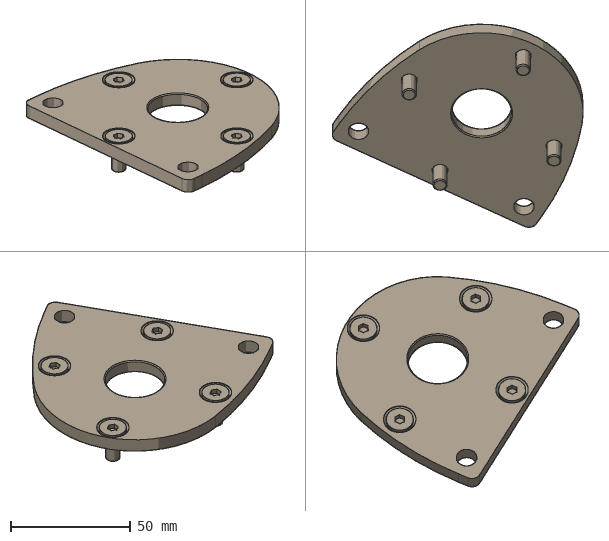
import cadquery as cq
import math


plate_width = 98.0
plate_length = 85.5
plate_thickness = 6.0
corner_radius = 3.6
nose_radius = 42.5
straight_side_length = 8.0
flank_end_offset = 59.0

bore_diameter = 25.0
bore_chamfer = 0.5

mount_hole_diameter = 8.5
mount_hole_spacing = 80.0
mount_hole_base_offset = 8.9

screw_count = 4
screw_pitch_radius = 35.0
clearance_diameter = 6.6
countersink_diameter = 13.5
countersink_angle = 90.0
countersink_lip = 0.3

shank_diameter = 6.0
head_diameter = 11.4
head_recess = 0.1
screw_tip_depth = 16.1
tip_chamfer = 0.5
socket_width = 4.0
socket_depth = 2.1
socket_cone_depth = 1.2

base_y = nose_radius - plate_length
half_width = plate_width / 2
cone_slope = math.tan(math.radians(countersink_angle / 2))
rim_seat_depth = countersink_lip + (countersink_diameter - head_diameter) / 2 / cone_slope
screw_angles = [2 * math.pi * i / screw_count for i in range(screw_count)]
screw_places = [
    (screw_pitch_radius * math.cos(angle), screw_pitch_radius * math.sin(angle)) for angle in screw_angles
]


def flank_midpoint(x_start, y_start, x_end, y_end):
    """Middle of the arc that leaves the start point parallel to Y."""
    dx = x_start - x_end
    dy = y_end - y_start
    radius = (dx**2 + dy**2) / (2 * dx)
    half_angle = math.asin(dy / radius) / 2
    mid_x = x_start - radius * (1 - math.cos(half_angle))
    mid_y = y_start + radius * math.sin(half_angle)
    return mid_x, mid_y


def make_blank():
    """Plate outline with square base corners."""
    flank_y = base_y + straight_side_length
    meet_y = base_y + flank_end_offset
    meet_x = math.sqrt(nose_radius**2 - meet_y**2)
    mid_x, mid_y = flank_midpoint(half_width, flank_y, meet_x, meet_y)
    return (
        cq.Workplane("XY")
        .moveTo(-half_width, base_y)
        .lineTo(half_width, base_y)
        .lineTo(half_width, flank_y)
        .threePointArc((mid_x, mid_y), (meet_x, meet_y))
        .threePointArc((0, nose_radius), (-meet_x, meet_y))
        .threePointArc((-mid_x, mid_y), (-half_width, flank_y))
        .close()
        .extrude(-plate_thickness)
    )


def plate_top(plate, depth=0.0):
    """Workplane on the bore axis, a given depth below the plate top."""
    return plate.faces(">Z").workplane(origin=(0, 0, 0), offset=-depth)


def make_plate():
    plate = plate_top(make_blank()).hole(bore_diameter)

    plate = plate.edges("%CIRCLE").edges(cq.selectors.RadiusNthSelector(0)).chamfer(bore_chamfer)
    plate = plate.edges("|Z and <Y").fillet(corner_radius)

    mount_x = mount_hole_spacing / 2
    mount_y = base_y + mount_hole_base_offset
    mount_places = [(-mount_x, mount_y), (mount_x, mount_y)]
    plate = plate_top(plate).pushPoints(mount_places).hole(mount_hole_diameter)

    plate = plate_top(plate).pushPoints(screw_places).hole(countersink_diameter, countersink_lip)
    return (
        plate_top(plate, countersink_lip)
        .pushPoints(screw_places)
        .cskHole(clearance_diameter, countersink_diameter, countersink_angle)
    )


def make_socket(top_z):
    """Hexagonal socket with a conical floor, its corners pointing along Y."""
    floor_z = top_z - socket_depth
    hexagon = (
        cq.Workplane("XY", origin=(0, 0, floor_z))
        .polygon(6, socket_width, circumscribed=True)
        .extrude(socket_depth)
    )
    cone = cq.Solid.makeCone(
        socket_width / 2, 0, socket_cone_depth, pnt=cq.Vector(0, 0, floor_z), dir=cq.Vector(0, 0, -1)
    )
    return hexagon.union(cq.Workplane(cone))


def make_screw():
    """Screw on the Z axis: head rim, cone, shank and chamfered tip."""
    head_radius = head_diameter / 2
    shank_radius = shank_diameter / 2
    top_z = -head_recess
    rim_z = -rim_seat_depth
    neck_z = rim_z - (head_radius - shank_radius) / cone_slope
    tip_z = -screw_tip_depth
    body = (
        cq.Workplane("XZ")
        .moveTo(0, top_z)
        .lineTo(head_radius, top_z)
        .lineTo(head_radius, rim_z)
        .lineTo(shank_radius, neck_z)
        .lineTo(shank_radius, tip_z + tip_chamfer)
        .lineTo(shank_radius - tip_chamfer, tip_z)
        .lineTo(0, tip_z)
        .close()
        .revolve(360, (0, 0, 0), (0, 1, 0))
    )
    return body.cut(make_socket(top_z))


plate = make_plate()
screws = [make_screw().translate((x, y, 0)) for x, y in screw_places]

result = cq.Compound.makeCompound([plate.solids().val(), *[screw.solids().val() for screw in screws]])